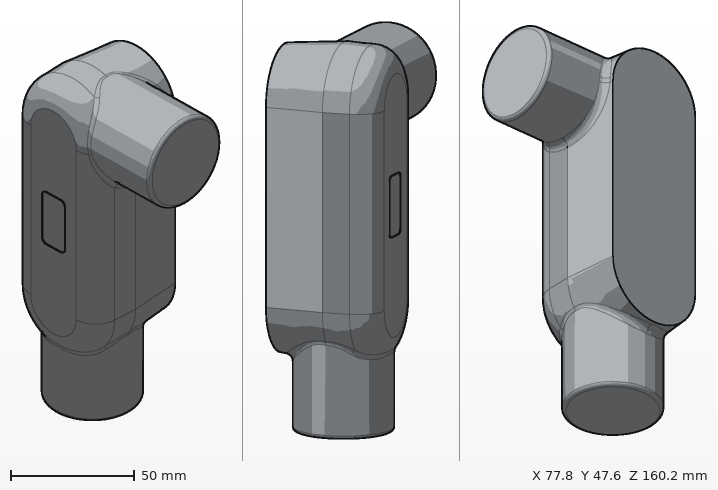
import cadquery as cq


overall_width = 77.75
overall_depth = 47.62
overall_height = 160.16

body_radius = 24.6
arc_spacing = 82.55
body_length = arc_spacing + 2 * body_radius
front_depth = 22.4
back_depth = overall_depth - front_depth
front_draft = 2.0
back_draft = 5.0
front_round = 11.2
middle_z = -arc_spacing / 2

hub_diameter = 41.27
hub_end_round = 1.6
hub_neck_round = 3.175
side_hub_rise = 2.65
side_hub_end = overall_width - body_radius
bottom_hub_end = body_radius - overall_height

panel_width = 13.1
panel_height = 25.4
panel_corner = 2.4
panel_depth = 0.4

touch_gap = 0.01


def body_half(depth, draft):
    """Drafted obround from the parting plane; positive depth goes to the front."""
    return (
        cq.Workplane("XZ", origin=(0, 0, middle_z))
        .slot2D(body_length, 2 * body_radius, 90)
        .extrude(depth, taper=draft)
    )


def make_body():
    front = body_half(front_depth, front_draft).faces("<Y").edges().fillet(front_round)
    back = body_half(-back_depth, back_draft)
    return front.union(back)


def hub_barrel(start_plane, length):
    """Solid hub growing along the plane normal, with a rounded outer end."""
    barrel = cq.Workplane(start_plane).circle(hub_diameter / 2).extrude(length)
    outer_end = cq.selectors.DirectionMinMaxSelector(start_plane.zDir, True)
    return barrel.faces(outer_end).edges().fillet(hub_end_round)


def make_side_hub():
    plane = cq.Plane(origin=(0, 0, side_hub_rise), xDir=(0, 1, 0), normal=(1, 0, 0))
    return hub_barrel(plane, side_hub_end)


def make_bottom_hub():
    plane = cq.Plane(origin=(0, 0, middle_z), xDir=(0, 1, 0), normal=(0, 0, -1))
    return hub_barrel(plane, middle_z - bottom_hub_end)


def neck_edges(joined, part, hub):
    """Edges of the joined part that lie on both the part's skin and the hub barrel."""
    skin = part.solids().shells().val()
    barrel = hub.faces("%CYLINDER").val()

    def touches_both(position):
        point = cq.Vertex.makeVertex(*position.toTuple())
        return point.distance(skin) < touch_gap and point.distance(barrel) < touch_gap

    def on_neck(edge):
        return all(touches_both(position) for position in edge.positions((0.25, 0.5, 0.75)))

    return joined.edges().filter(on_neck).vals()


def join_hub(part, hub):
    """Fuse a hub to the part and round the neck where they meet."""
    joined = part.union(hub)
    return joined.newObject(neck_edges(joined, part, hub)).fillet(hub_neck_round)


def panel_recess():
    return (
        cq.Workplane("XZ", origin=(0, panel_depth - front_depth, middle_z))
        .rect(panel_width, panel_height)
        .extrude(panel_depth)
        .edges("|Y")
        .fillet(panel_corner)
    )


conduit = make_body()
conduit = join_hub(conduit, make_side_hub())
conduit = join_hub(conduit, make_bottom_hub())
conduit = conduit.cut(panel_recess())
result = cq.Workplane(conduit.solids().val())